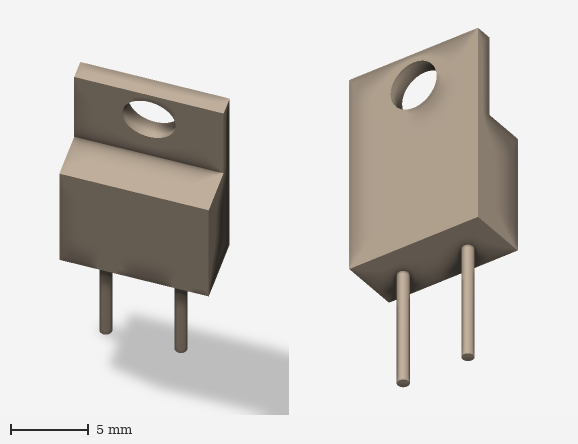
import cadquery as cq

total_height = 23.7
width = 10.1
depth = 4.5

tab_height = 6.16
tab_thickness = 1.3
hole_diameter = 3.6
hole_below_top = 2.5

pin_length = 8.65
pin_diameter = 0.85
pin_spacing = 5.07
pin_from_back = 2.5

housing_height = total_height - tab_height - pin_length
tab_top = housing_height + tab_height
hole_height = tab_top - hole_below_top


def make_block(block_depth, height, base_height):
    """Full-width block whose back face lies on Y = 0."""
    return (
        cq.Workplane("XY")
        .box(width, block_depth, height, centered=(True, False, False))
        .translate((0, -block_depth, base_height))
    )


def make_housing():
    """Plain block that carries the tab and the pins."""
    return make_block(depth, housing_height, 0)


def make_tab():
    """Upright plate on top of the housing, with a through mounting hole."""
    plate = make_block(tab_thickness, tab_height, housing_height)
    hole = (
        cq.Workplane("XZ")
        .center(0, hole_height)
        .circle(hole_diameter / 2)
        .extrude(tab_thickness)
    )
    return plate.cut(hole)


def make_pin(x):
    """Round pin that butts against the housing underside."""
    pin = cq.Workplane("XY").circle(pin_diameter / 2).extrude(-pin_length)
    return pin.translate((x, -pin_from_back, 0))


housing = make_housing()
tab = make_tab()
pins = [make_pin(side * pin_spacing / 2) for side in (-1, 1)]

result = cq.Compound.makeCompound([housing.val(), tab.val(), *[pin.val() for pin in pins]])